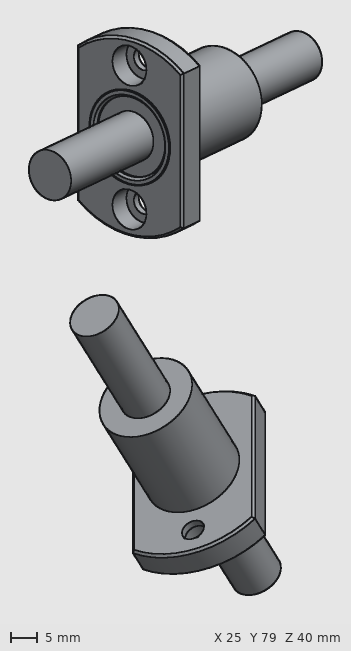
import cadquery as cq

shaft_diameter = 10
shaft_overhang = 25

sleeve_diameter = 19
bushing_length = 29
flange_diameter = 40
flange_width = 25
flange_thickness = 6
flange_chamfer = 0.5

recess_diameter = 16
recess_depth = 0.9
recess_chamfer = 0.5

groove_width = 0.2
groove_depth = 0.2

hole_diameter = 4.5
counterbore_diameter = 8
counterbore_depth = 4.4
hole_spacing = 29

shaft_length = bushing_length + 2 * shaft_overhang
flange_front = -shaft_length / 2 + shaft_overhang


def cylinder_along_y(diameter, start, length, z=0):
    """Solid cylinder parallel to Y that begins at Y = start."""
    axis_start = cq.Vector(0, start, z)
    solid = cq.Solid.makeCylinder(diameter / 2, length, axis_start, cq.Vector(0, 1, 0))
    return cq.Workplane(obj=solid)


def make_flange():
    """Disc cut by two flats, chamfered around both faces."""
    disc = cylinder_along_y(flange_diameter, flange_front, flange_thickness)
    flats = cq.Workplane().box(flange_width, shaft_length, flange_diameter)
    return disc.intersect(flats).faces("<Y or >Y").chamfer(flange_chamfer)


def make_recess():
    """Flat-bottomed round pocket that widens as a cone at the front face."""
    recess_radius = recess_diameter / 2
    mouth_cone = cq.Solid.makeCone(
        recess_radius + recess_chamfer,
        recess_radius,
        recess_chamfer,
        cq.Vector(0, flange_front, 0),
        cq.Vector(0, 1, 0),
    )
    pocket = cylinder_along_y(recess_diameter, flange_front, recess_depth)
    return pocket.union(cq.Workplane(obj=mouth_cone))


def make_groove():
    """Ring of triangular section, revolved around the shaft axis."""
    outer_radius = sleeve_diameter / 2
    profile = [
        (outer_radius, flange_front),
        (outer_radius, flange_front + groove_depth),
        (outer_radius - groove_width, flange_front),
    ]
    return cq.Workplane("XY").polyline(profile).close().revolve(360, (0, 0, 0), (0, 1, 0))


def make_mounting_hole(z):
    """Through hole with a counterbore open at the front face."""
    hole = cylinder_along_y(hole_diameter, flange_front, flange_thickness, z)
    counterbore = cylinder_along_y(counterbore_diameter, flange_front, counterbore_depth, z)
    return hole.union(counterbore)


sleeve = cylinder_along_y(sleeve_diameter, flange_front, bushing_length)
bushing = make_flange().union(sleeve)
bushing = bushing.cut(make_recess()).cut(make_groove())
for side in (-1, 1):
    bushing = bushing.cut(make_mounting_hole(side * hole_spacing / 2))

shaft = cylinder_along_y(shaft_diameter, -shaft_length / 2, shaft_length)
result = bushing.union(shaft)